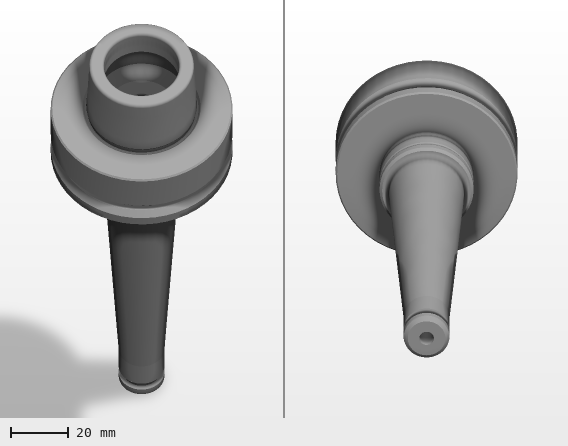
import cadquery as cq
import math

total_length = 181.0

tip_d = 16.0
neck_d = 13.0
tip_end_d = 13.0
tip_edge_d = 15.7
tip_edge_z = 1.0
ring_bottom_z = 1.6
neck_bottom_z = 3.8
neck_top_z = 6.9
neck_edge = 0.4
tip_top_z = 17.2

shank_top_d = 26.2
shank_fillet = 1.8

collar_d = 32.5
collar_groove_d = 32.0
collar_bottom_z = 117.1
collar_chamfer = 0.9
lower_groove_z = (120.4, 121.3, 122.0)
upper_groove_z = (126.3, 128.0, 129.0)

flange_d = 63.0
flange_bottom_z = 130.1
flange_top_z = 156.0
flange_edge = 0.5
grip_groove_d = 55.0
grip_groove_bottom_z = 134.3
grip_groove_top_z = 141.5
grip_bevel_d = 58.6
grip_bevel_height = 1.8

taper_root_d = 38.4
taper_top_d = 36.2
taper_root_z = 157.7
mouth_round = 1.0
relief_top_z = 157.0
relief_inner_d = 37.6
relief_outer_d = 40.9
relief_depth = 0.7

lip_d = 26.0
lip_depth = 10.0
chamber_d = 32.0
lip_back_angle = 30.0
lip_back_height = (chamber_d - lip_d) / 2 * math.tan(math.radians(lip_back_angle))
floor_d = 23.7
floor_depth = 25.0
floor_cone = (chamber_d - floor_d) / 2
drill_d = 12.0
drill_edge_d = 12.3
drill_edge = (drill_edge_d - drill_d) / 2
drill_depth = 5.5
drill_point_angle = 118.0
coolant_d = 5.0


def collar_groove(heights):
    """Radius and height of the lower edge, root and upper edge of a collar groove."""
    diameters = (collar_d, collar_groove_d, collar_d)
    return [(d / 2, z) for d, z in zip(diameters, heights)]


def grip_groove():
    """Radius and height of the corners of the gripper groove, from bottom to top."""
    flank = [(flange_d / 2, 0), (grip_bevel_d / 2, grip_bevel_height), (grip_groove_d / 2, grip_bevel_height)]
    lower = [(r, grip_groove_bottom_z + rise) for r, rise in flank]
    upper = [(r, grip_groove_top_z - rise) for r, rise in reversed(flank)]
    return lower + upper


def turned_body():
    shank_r = shank_top_d / 2
    fillet_mid = (
        shank_r + shank_fillet * (1 - math.sqrt(0.5)),
        collar_bottom_z - shank_fillet * (1 - math.sqrt(0.5)),
    )
    profile = (
        cq.Workplane("XZ")
        .lineTo(tip_end_d / 2, 0)
        .lineTo(tip_edge_d / 2, tip_edge_z)
        .lineTo(tip_d / 2, ring_bottom_z)
        .lineTo(tip_d / 2, neck_bottom_z)
        .lineTo(neck_d / 2, neck_bottom_z + neck_edge)
        .lineTo(neck_d / 2, neck_top_z)
        .lineTo(tip_d / 2, neck_top_z + neck_edge)
        .lineTo(tip_d / 2, tip_top_z)
        .lineTo(shank_r, collar_bottom_z - shank_fillet)
        .threePointArc(fillet_mid, (shank_r + shank_fillet, collar_bottom_z))
        .lineTo(collar_d / 2 - collar_chamfer, collar_bottom_z)
        .lineTo(collar_d / 2, collar_bottom_z + collar_chamfer)
    )
    rest = collar_groove(lower_groove_z)
    rest += collar_groove(upper_groove_z)
    rest += [
        (collar_d / 2, flange_bottom_z),
        (flange_d / 2 - flange_edge, flange_bottom_z),
        (flange_d / 2, flange_bottom_z + flange_edge),
    ]
    rest += grip_groove()
    rest += [
        (flange_d / 2, flange_top_z - flange_edge),
        (flange_d / 2 - flange_edge, flange_top_z),
        (relief_outer_d / 2, flange_top_z),
        (relief_outer_d / 2 - relief_depth, flange_top_z - relief_depth),
        (relief_inner_d / 2, flange_top_z - relief_depth),
        (relief_inner_d / 2, relief_top_z),
        (taper_root_d / 2, taper_root_z),
        (taper_top_d / 2, total_length),
        (0, total_length),
    ]
    for point in rest:
        profile = profile.lineTo(*point)
    return profile.close().revolve(360, (0, 0, 0), (0, 1, 0))


def bore():
    lip_bottom_z = total_length - lip_depth
    floor_z = total_length - floor_depth
    drill_z = floor_z - drill_depth
    point_height = (drill_d - coolant_d) / 2 / math.tan(math.radians(drill_point_angle / 2))
    points = [
        (0, 0),
        (coolant_d / 2, 0),
        (coolant_d / 2, drill_z - point_height),
        (drill_d / 2, drill_z),
        (drill_d / 2, floor_z - drill_edge),
        (drill_edge_d / 2, floor_z),
        (floor_d / 2, floor_z),
        (chamber_d / 2, floor_z + floor_cone),
        (chamber_d / 2, lip_bottom_z - lip_back_height),
        (lip_d / 2, lip_bottom_z),
        (lip_d / 2, total_length),
        (0, total_length),
    ]
    return cq.Workplane("XZ").polyline(points).close().revolve(360, (0, 0, 0), (0, 1, 0))


result = turned_body().cut(bore()).faces(">Z").edges().fillet(mouth_round)